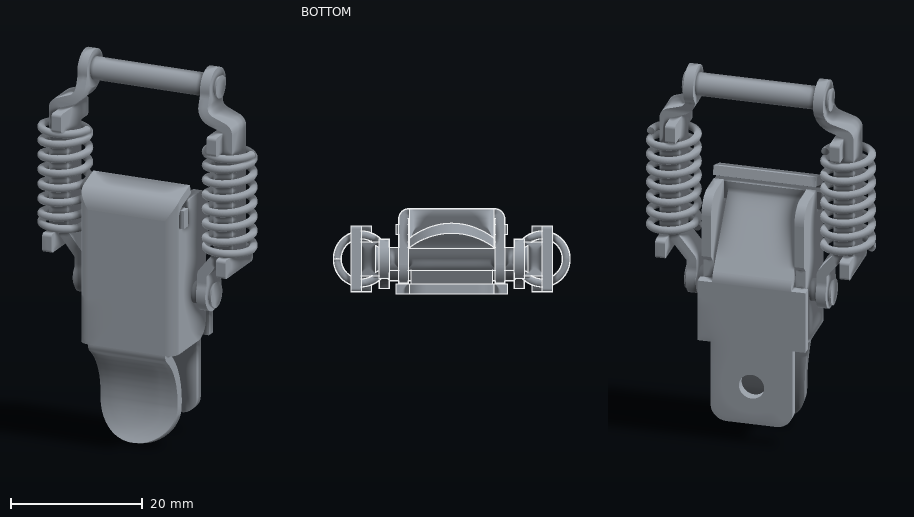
import cadquery as cq
import math

TOLERANCE = 0.005


ARM_T = 1.55
ARM_WIDTH = 5.1
EAR_IN_X = 9.45
EAR_X = EAR_IN_X + ARM_T / 2
EAR_OUT_X = EAR_IN_X + ARM_T
EAR_R = 3.0
EAR_BLEND_R = 1.8

SPRING_X = 13.75
OVERALL_WIDTH = 36.0
WIRE_R = 0.6
COIL_R = OVERALL_WIDTH / 2 - SPRING_X - WIRE_R
SPRING_BOTTOM = 31.8
SPRING_TOP = 48.25
HELIX_TURNS = 6.5

HEAD_WIDTH = 10.0
HEAD_HEIGHT = 3.0
HEAD_CORNER_R = 0.5

BAIL_ROD_Y = 1.5
BAIL_ROD_Z = 57.25
BAIL_ROD_R = 1.8
BAIL_NECK_R = 1.5
BAIL_HEAD_R = 1.8
BAIL_ARM_X = SPRING_X + ARM_T / 2
BAIL_EAR_BEND_Z = 53.5
BAIL_ARM_BEND_Z = 52.0
BAIL_EAR_BEND_R = 1.45
BAIL_ARM_BEND_R = 0.2
BAIL_KNEE_Z = 53.25
BAIL_KNEE_R = 1.8

PIN_Z = 24.3
PIN_R = 1.75
PIN_HEAD_R = 2.05
PIN_EAR_Z = 24.7
LINK_ARM_X = SPRING_X - ARM_T / 2
LINK_EAR_BEND_Z = 28.2
LINK_ARM_BEND_Z = 31.6

RIVET_HEAD_T = 0.55

LEVER_T = 1.5
LEVER_HALF_W = 8.1
LEVER_FRONT_Y = -7.65
LEVER_INNER_Y = LEVER_FRONT_Y + LEVER_T
LEVER_BOTTOM = 16.1
LEVER_CORNER_R = 1.6
FLAP_BEND_Z = 39.8
FLAP_END_Y = -1.9
FLAP_RISE = 18.0
FLAP_BEND_R = 2.0
WALL_BACK_Y = 3.7
WALL_BOTTOM_R = 2.7
WALL_STEP_Z = 28.9
LUG_BACK_Y = 4.7
LUG_FRONT_Y = -2.6
LUG_TOP = 39.9
LUG_BACK_R = 3.1
LUG_FRONT_R = 0.5
NOTCH_BOTTOM = 36.0
NOTCH_R = 0.85

TONGUE_HALF_W = LEVER_HALF_W - LEVER_CORNER_R
TONGUE_AXIS_Y = -12.95
TONGUE_AXIS_Z = 6.9
TONGUE_TIP_TILT = 18.0
TONGUE_TIP_R = 6.4

BASE_T = 1.55
BASE_BACK_Y = 5.35
BASE_Y = BASE_BACK_Y - BASE_T / 2
BASE_BOTTOM = 3.1
BASE_FOOT_HALF_W = TONGUE_HALF_W
BASE_FOOT_R = 2.55
BASE_WIDE_HALF_W = 8.5
BASE_WIDE_TOP = 26.1
BASE_RAMP_HALF_W = 6.2
BASE_LOW_BEND_Z = 26.65
BASE_HIGH_BEND_Z = 37.25
BASE_BEND_R = 0.85
STUB_Y = -4.45
STUB_BOTTOM = 36.05
STUB_TOP = 38.9
BASE_HOLE_R = 2.0
BASE_HOLE_Z = 9.35


def rounded_outline(plane, corners):
    """Closed outline through corners (a, b, radius), with each corner rounded to its radius."""
    count = len(corners)
    arcs = []
    for i, (a, b, radius) in enumerate(corners):
        here = cq.Vector(a, b)
        to_last = (cq.Vector(*corners[i - 1][:2]) - here).normalized()
        to_next = (cq.Vector(*corners[(i + 1) % count][:2]) - here).normalized()
        half_angle = to_last.getAngle(to_next) / 2
        if radius == 0:
            arcs.append((here, here, here))
            continue
        reach = radius / math.tan(half_angle)
        middle = here + (to_last + to_next).normalized() * (radius / math.sin(half_angle) - radius)
        arcs.append((here + to_last * reach, middle, here + to_next * reach))
    outline = cq.Workplane(plane).moveTo(*arcs[0][2].toTuple()[:2])
    for start, middle, end in arcs[1:] + arcs[:1]:
        outline = outline.lineTo(*start.toTuple()[:2])
        if start != end:
            outline = outline.threePointArc(middle.toTuple()[:2], end.toTuple()[:2])
    return outline.close()


def bent_strip(plane, path, thickness):
    """Outline of a bent strip, from the corners (a, b, inner bend radius) of its centre line."""
    points = [cq.Vector(a, b) for a, b, _ in path]
    runs = [(end - start).normalized() for start, end in zip(points, points[1:])]
    left = []
    right = []
    for i, point in enumerate(points):
        before = runs[max(i - 1, 0)]
        after = runs[min(i, len(runs) - 1)]
        normal_sum = cq.Vector(-before.y - after.y, before.x + after.x)
        offset = normal_sum * (thickness / (1 + before.dot(after)) / 2)
        turn = before.cross(after).z
        inner = path[i][2]
        outer = inner + thickness if turn else 0
        left.append((point.x + offset.x, point.y + offset.y, inner if turn > 0 else outer))
        right.append((point.x - offset.x, point.y - offset.y, outer if turn > 0 else inner))
    return rounded_outline(plane, left + right[::-1])


def box_between(low, high):
    """Box between two opposite corners."""
    size = [b - a for a, b in zip(low, high)]
    return cq.Workplane("XY").box(*size, centered=False).translate(low)


def cross_head(x, bottom):
    """Cross head of an arm: a plate centred on x, with rounded corners."""
    height = HEAD_HEIGHT
    head = cq.Workplane("XY").box(ARM_T, HEAD_WIDTH, height).translate((x, 0, bottom + height / 2))
    return head.edges("|X").fillet(HEAD_CORNER_R)


def add_ear(strip, y, z):
    """Strip with a round ear about (y, z), blended into both edges of the strip."""
    disc = cq.Workplane("YZ", origin=(EAR_IN_X, y, z)).circle(EAR_R).extrude(ARM_T)

    def is_junction(edge):
        across = edge.Center().y - y
        up = edge.Center().z - z
        return abs(math.hypot(across, up) - EAR_R) < TOLERANCE and abs(up) > TOLERANCE

    return strip.union(disc).edges("|X").filter(is_junction).fillet(EAR_BLEND_R)


def riveted_frame(arm, y, z, shaft_r, neck_r, head_r):
    """One body: the +X arm, its mirror image and a rod with a flared rivet head outside each ear."""
    rod = cq.Workplane("YZ", origin=(0, y, z)).circle(shaft_r).extrude(EAR_X, both=True)
    head_base = cq.Vector(EAR_OUT_X, y, z)
    head = cq.Workplane(cq.Solid.makeCone(neck_r, head_r, RIVET_HEAD_T, head_base, cq.Vector(1, 0, 0)))
    arm = arm.union(head)
    return rod.union(arm).union(arm.mirror("YZ"))


def make_bail():
    """Upper rod with two arms that run down through the springs."""
    bottom = SPRING_BOTTOM - HEAD_HEIGHT
    face_path = [
        (EAR_X, BAIL_ROD_Z, 0),
        (EAR_X, BAIL_EAR_BEND_Z, BAIL_EAR_BEND_R),
        (BAIL_ARM_X, BAIL_ARM_BEND_Z, BAIL_ARM_BEND_R),
        (BAIL_ARM_X, bottom, 0),
    ]
    side_path = [(0, bottom, 0), (0, BAIL_KNEE_Z, BAIL_KNEE_R), (BAIL_ROD_Y, BAIL_ROD_Z, 0)]
    strip = bent_strip("XZ", face_path, ARM_T).extrude(2 * EAR_R, both=True)
    side = bent_strip("YZ", side_path, ARM_WIDTH).extrude(2 * SPRING_X)
    arm = add_ear(strip.intersect(side), BAIL_ROD_Y, BAIL_ROD_Z)
    arm = arm.union(cross_head(BAIL_ARM_X, bottom))
    return riveted_frame(arm, BAIL_ROD_Y, BAIL_ROD_Z, BAIL_ROD_R, BAIL_NECK_R, BAIL_HEAD_R)


def make_link():
    """Lower pin with two arms that run up through the springs."""
    top = SPRING_TOP + HEAD_HEIGHT
    path = [
        (EAR_X, PIN_EAR_Z, 0),
        (EAR_X, LINK_EAR_BEND_Z, 0),
        (LINK_ARM_X, LINK_ARM_BEND_Z, 0),
        (LINK_ARM_X, top, 0),
    ]
    strip = bent_strip("XZ", path, ARM_T).extrude(ARM_WIDTH / 2, both=True)
    arm = add_ear(strip, 0, PIN_EAR_Z).union(cross_head(LINK_ARM_X, SPRING_TOP))
    return riveted_frame(arm, 0, PIN_Z, PIN_R, PIN_R, PIN_HEAD_R)


def make_spring(x):
    """Right-handed compression spring with a flat half turn at each end."""
    first_z = SPRING_BOTTOM + WIRE_R
    rise = SPRING_TOP - SPRING_BOTTOM - 2 * WIRE_R
    helix = cq.Wire.makeHelix(rise / HELIX_TURNS, rise, COIL_R)
    wire_section = cq.Workplane("XZ", origin=(COIL_R, 0, 0)).circle(WIRE_R)
    coil = wire_section.sweep(cq.Workplane(helix), isFrenet=True)
    end_turn = cq.Workplane("XZ", origin=(-COIL_R, 0, 0)).circle(WIRE_R)
    end_turn = end_turn.revolve(180, (COIL_R, 0), (COIL_R, 1))
    spring = coil.union(end_turn).union(end_turn.translate((0, 0, rise)))
    return spring.translate((x, 0, first_z))


def make_lever_shell():
    """Front plate with its top flap and two side walls, rounded along the front corners."""
    plate_y = LEVER_FRONT_Y + LEVER_T / 2
    flap_end_z = FLAP_BEND_Z + (FLAP_END_Y - plate_y) * math.tan(math.radians(FLAP_RISE))
    plate_path = [
        (plate_y, LEVER_BOTTOM, 0),
        (plate_y, FLAP_BEND_Z, FLAP_BEND_R),
        (FLAP_END_Y, flap_end_z, 0),
    ]
    shell = bent_strip("YZ", plate_path, LEVER_T).extrude(LEVER_HALF_W, both=True)
    step_height = LUG_BACK_Y - WALL_BACK_Y
    wall_corners = [
        (LEVER_FRONT_Y, LEVER_BOTTOM, 0),
        (WALL_BACK_Y, LEVER_BOTTOM, WALL_BOTTOM_R),
        (WALL_BACK_Y, WALL_STEP_Z, 0),
        (LUG_BACK_Y, WALL_STEP_Z + step_height, 0),
        (LUG_BACK_Y, LUG_TOP, LUG_BACK_R),
        (LUG_FRONT_Y, LUG_TOP, LUG_FRONT_R),
        (LUG_FRONT_Y, NOTCH_BOTTOM, 0),
        (LEVER_INNER_Y, NOTCH_BOTTOM, NOTCH_R),
        (LEVER_INNER_Y, NOTCH_BOTTOM + 2 * NOTCH_R, 0),
        (LEVER_FRONT_Y, NOTCH_BOTTOM + 2 * NOTCH_R, 0),
    ]
    wall = rounded_outline("YZ", wall_corners).extrude(LEVER_T)
    for wall_x in (-LEVER_HALF_W, LEVER_HALF_W - LEVER_T):
        shell = shell.union(wall.translate((wall_x, 0, 0)))
    envelope = box_between((-LEVER_HALF_W, LEVER_FRONT_Y, 0), (LEVER_HALF_W, LUG_BACK_Y, BAIL_ROD_Z))
    return shell.intersect(envelope.edges("|Z and <Y").fillet(LEVER_CORNER_R))


def make_tongue():
    """Curved thumb tongue below the front plate, with a rounded tip."""
    axis = cq.Vector(TONGUE_AXIS_Y, TONGUE_AXIS_Z)
    root_back = cq.Vector(LEVER_INNER_Y, LEVER_BOTTOM)
    back_r = (root_back - axis).Length
    front_r = back_r - LEVER_T
    root_angle = math.atan2(root_back.y - axis.y, root_back.x - axis.x)
    tip_angle = -math.asin(TONGUE_AXIS_Z / back_r)
    end_angle = tip_angle - LEVER_T / front_r

    def on_arc(radius, angle):
        return (axis.x + radius * math.cos(angle), axis.y + radius * math.sin(angle))

    bend_mid_angle = -math.pi + root_angle / 2
    bend_mid = (
        root_back.x + LEVER_T * math.cos(bend_mid_angle),
        root_back.y + LEVER_T * math.sin(bend_mid_angle),
    )
    outline = cq.Workplane("YZ").moveTo(root_back.x, root_back.y).lineTo(LEVER_FRONT_Y, LEVER_BOTTOM)
    outline = outline.threePointArc(bend_mid, on_arc(front_r, root_angle))
    outline = outline.threePointArc(on_arc(front_r, 0), on_arc(front_r, end_angle))
    outline = outline.lineTo(*on_arc(back_r, end_angle))
    outline = outline.threePointArc(on_arc(back_r, 0), root_back.toTuple()[:2])
    tongue = outline.close().extrude(TONGUE_HALF_W, both=True)

    tilt = math.radians(TONGUE_TIP_TILT)
    cut_plane = cq.Plane(
        origin=(0, on_arc(back_r, tip_angle)[0], 0),
        xDir=(1, 0, 0),
        normal=(0, -math.cos(tilt), math.sin(tilt)),
    )
    top = 2 * LEVER_BOTTOM
    tip_corners = [
        (-TONGUE_HALF_W, 0, TONGUE_TIP_R),
        (TONGUE_HALF_W, 0, TONGUE_TIP_R),
        (TONGUE_HALF_W, top, 0),
        (-TONGUE_HALF_W, top, 0),
    ]
    return tongue.intersect(rounded_outline(cut_plane, tip_corners).extrude(top, both=True))


def make_lever():
    """Lever shell with its tongue and the hole for the link pin."""
    pin_hole = cq.Workplane("YZ", origin=(0, 0, PIN_Z)).circle(PIN_R).extrude(EAR_IN_X, both=True)
    return make_lever_shell().union(make_tongue()).cut(pin_hole)


def make_base():
    """Back plate that ramps forward inside the lever and ends in two side stubs."""
    side_path = [
        (BASE_Y, BASE_BOTTOM, 0),
        (BASE_Y, BASE_LOW_BEND_Z, BASE_BEND_R),
        (STUB_Y, BASE_HIGH_BEND_Z, BASE_BEND_R),
        (STUB_Y, STUB_TOP, 0),
    ]
    plate = bent_strip("YZ", side_path, BASE_T).extrude(BASE_WIDE_HALF_W, both=True)
    right_half = [
        (BASE_FOOT_HALF_W, BASE_BOTTOM, BASE_FOOT_R),
        (BASE_FOOT_HALF_W, LEVER_BOTTOM, 0),
        (BASE_WIDE_HALF_W, LEVER_BOTTOM, 0),
        (BASE_WIDE_HALF_W, BASE_WIDE_TOP, 0),
        (BASE_RAMP_HALF_W, BASE_WIDE_TOP, 0),
        (BASE_RAMP_HALF_W, STUB_TOP, 0),
    ]
    left_half = [(-x, z, radius) for x, z, radius in reversed(right_half)]
    face = rounded_outline("XZ", right_half + left_half).extrude(2 * BASE_BACK_Y, both=True)
    base = plate.intersect(face)
    stub = box_between(
        (BASE_RAMP_HALF_W, STUB_Y - BASE_T / 2, STUB_BOTTOM),
        (BASE_WIDE_HALF_W, STUB_Y + BASE_T / 2, STUB_TOP),
    )
    base = base.union(stub).union(stub.mirror("YZ"))
    hole = cq.Workplane("XZ", origin=(0, BASE_BACK_Y, BASE_HOLE_Z)).circle(BASE_HOLE_R).extrude(BASE_T)
    return base.cut(hole)


base = make_base()
lever = make_lever()
bail = make_bail()
link = make_link()
springs = [make_spring(x).val() for x in (-SPRING_X, SPRING_X)]

result = cq.Compound.makeCompound([base.val(), lever.val(), bail.val(), link.val(), *springs])